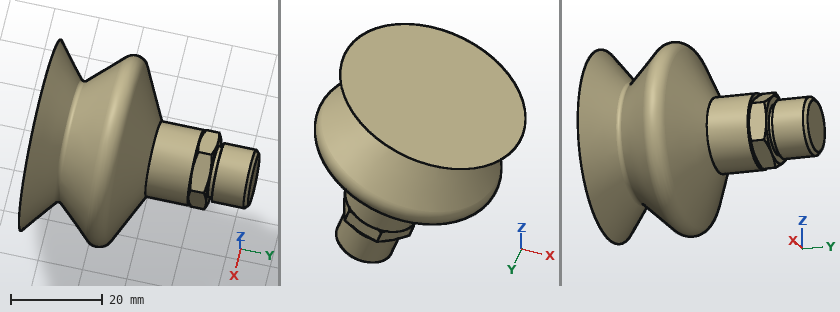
import cadquery as cq
import math

total_length = 48.0

lip_radius = 21.5
bulge_arc_radius = 3.0
bulge_center_y = 17.05
waist_radius = 13.6
waist_end_radius = 13.8
waist_start_y = 6.35
waist_end_y = 7.5

sleeve_radius = 17.0 / 2
sleeve_start_y = 25.5
sleeve_end_y = 35.0

hex_across_flats = 15.0
hex_length = 4.0
hex_chamfer_length = 0.5

undercut_radius = 11.4 / 2
undercut_length = 1.05
thread_radius = 13.15 / 2
thread_chamfer = 0.8

hex_end_y = sleeve_end_y + hex_length
thread_start_y = hex_end_y + undercut_length
hex_inner_radius = hex_across_flats / 2
hex_corner_radius = hex_inner_radius / math.cos(math.pi / 6)


def tangent_point(center, radius, outside_point, side):
    """Point where a line from outside_point touches a circle; side is +1 or -1."""
    dx = outside_point[0] - center[0]
    dy = outside_point[1] - center[1]
    angle = math.atan2(dy, dx) + side * math.acos(radius / math.hypot(dx, dy))
    return center[0] + radius * math.cos(angle), center[1] + radius * math.sin(angle)


def make_bellows_and_sleeve():
    """Revolve the two cones, the rounded bulge, the waist and the sleeve."""
    bulge_center = (lip_radius - bulge_arc_radius, bulge_center_y)
    waist_end = (waist_end_radius, waist_end_y)
    sleeve_start = (sleeve_radius, sleeve_start_y)
    bulge_start = tangent_point(bulge_center, bulge_arc_radius, waist_end, 1)
    bulge_end = tangent_point(bulge_center, bulge_arc_radius, sleeve_start, -1)
    waist_middle = (waist_radius, (waist_start_y + waist_end_y) / 2)
    return (
        cq.Workplane("XY")
        .lineTo(lip_radius, 0)
        .lineTo(waist_end_radius, waist_start_y)
        .threePointArc(waist_middle, waist_end)
        .lineTo(*bulge_start)
        .threePointArc((lip_radius, bulge_center_y), bulge_end)
        .lineTo(*sleeve_start)
        .lineTo(sleeve_radius, sleeve_end_y)
        .lineTo(0, sleeve_end_y)
        .close()
        .revolve(360, (0, 0), (0, 1))
    )


def make_hexagon():
    """Hexagon with corners on +/-Z, its corners trimmed by a cone at both ends."""
    prism = (
        cq.Workplane("XZ", origin=(0, sleeve_end_y, 0))
        .transformed(rotate=(0, 0, 90))
        .polygon(6, 2 * hex_corner_radius)
        .extrude(-hex_length)
    )
    trim = (
        cq.Workplane("XY")
        .polyline([
            (0, sleeve_end_y),
            (hex_inner_radius, sleeve_end_y),
            (hex_corner_radius, sleeve_end_y + hex_chamfer_length),
            (hex_corner_radius, hex_end_y - hex_chamfer_length),
            (hex_inner_radius, hex_end_y),
            (0, hex_end_y),
        ])
        .close()
        .revolve(360, (0, 0), (0, 1))
    )
    return prism.intersect(trim)


def make_threaded_end():
    """Revolve the undercut and the chamfered thread cylinder."""
    return (
        cq.Workplane("XY")
        .polyline([
            (0, hex_end_y),
            (undercut_radius, hex_end_y),
            (undercut_radius, thread_start_y),
            (thread_radius, thread_start_y),
            (thread_radius, total_length - thread_chamfer),
            (thread_radius - thread_chamfer, total_length),
            (0, total_length),
        ])
        .close()
        .revolve(360, (0, 0), (0, 1))
    )


result = make_bellows_and_sleeve().union(make_hexagon()).union(make_threaded_end())